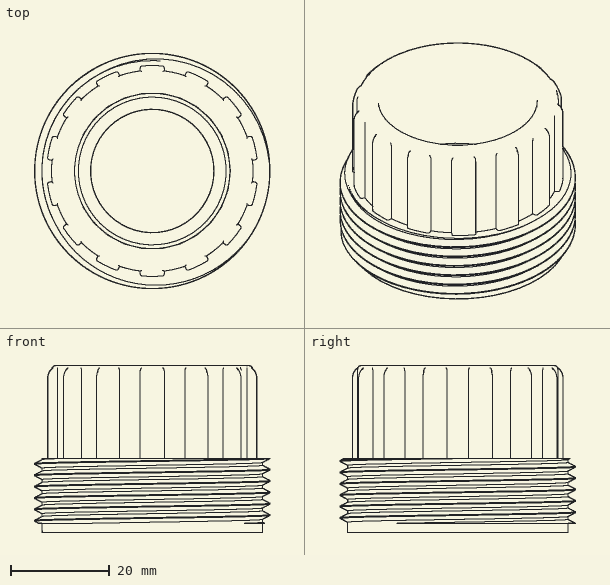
import cadquery as cq
import math

total_height = 34.0
grip_radius = 20.45
grip_fillet = 1.0

thread_major_radius = 23.9
thread_core_radius = 22.4
thread_bottom = 1.9
thread_top = 15.0
thread_pitch = 13.85 / 6
thread_turns = 8
thread_crest_width = 0.2
thread_half_angle = math.radians(27.5)
thread_embed = 0.2
thread_start = -1.05

rib_count = 14
rib_first_angle = 90.0
rib_radius = 21.4
rib_width = 4.88
rib_edge_fillet = 0.45
rib_top_fillet = 2.65
rib_embed = 0.8

socket_mouth_radius = 16.15
socket_floor_radius = 15.77
socket_floor = 11.95
socket_lip_fillet = 0.55
step_top_radius = 15.0
step_bottom = 4.8
bore_radius = 25.0 / 2


def cylinder(radius, bottom, top):
    return cq.Workplane("XY").workplane(offset=bottom).circle(radius).extrude(top - bottom)


def frustum(bottom_radius, top_radius, bottom, top):
    profile = [(0, bottom), (bottom_radius, bottom), (top_radius, top), (0, top)]
    return cq.Workplane("XZ").polyline(profile).close().revolve(360, (0, 0, 0), (0, 1, 0))


def make_hollow():
    """Everything removed along the axis."""
    socket = frustum(socket_floor_radius, socket_mouth_radius, socket_floor, total_height)
    step = frustum(bore_radius, step_top_radius, step_bottom, socket_floor)
    bore = cylinder(bore_radius, 0, socket_floor)
    return socket.union(step).union(bore)


def make_shell():
    """Plain threaded core and narrower grip, hollowed out and rounded at the socket mouth."""
    core = cylinder(thread_core_radius, 0, thread_top)
    grip = cylinder(grip_radius, 0, total_height).faces(">Z").edges().fillet(grip_fillet)
    shell = core.union(grip).cut(make_hollow())
    mouth_edge = cq.selectors.RadiusNthSelector(0)
    return shell.faces(">Z").edges(mouth_edge).fillet(socket_lip_fillet)


def make_rib():
    """One rib along +X: large rounding at the top, small rounding along both outer edges."""
    envelope = cylinder(rib_radius, thread_top, total_height)
    envelope = envelope.faces(">Z").edges().fillet(rib_top_fillet)
    bar = cq.Workplane("XY").box(rib_radius, rib_width, total_height, centered=(False, True, False))
    rib = bar.intersect(envelope).cut(cylinder(grip_radius - rib_embed, 0, total_height))
    return rib.edges("|Z").edges(">X").fillet(rib_edge_fillet)


def make_thread():
    """Helical ridge trimmed flat at both ends of the threaded length."""
    foot_radius = thread_core_radius - thread_embed
    half_crest = thread_crest_width / 2
    half_foot = half_crest + (thread_major_radius - foot_radius) * math.tan(thread_half_angle)
    profile = [
        (foot_radius, -half_foot),
        (thread_major_radius, -half_crest),
        (thread_major_radius, half_crest),
        (foot_radius, half_foot),
    ]
    helix = cq.Wire.makeHelix(thread_pitch, thread_pitch * thread_turns, foot_radius)
    ridge = cq.Workplane("XZ").polyline(profile).close().sweep(cq.Workplane(helix), isFrenet=True)
    threaded_length = cylinder(2 * thread_major_radius, thread_bottom, thread_top)
    return ridge.translate((0, 0, thread_start)).intersect(threaded_length)


result = make_shell()

rib = make_rib()
for index in range(rib_count):
    angle = rib_first_angle + index * 360 / rib_count
    result = result.union(rib.rotate((0, 0, 0), (0, 0, 1), angle))

result = result.union(make_thread())